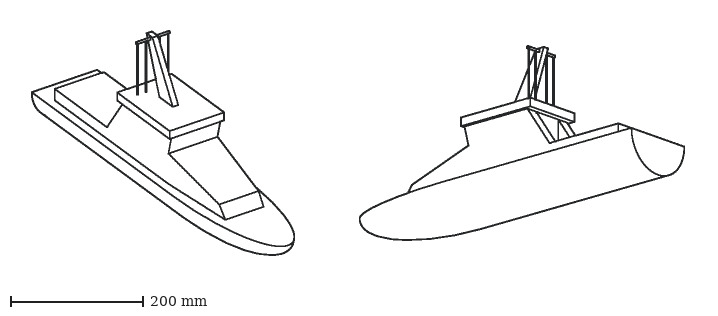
import cadquery as cq


hull_length = 600.0
hull_radius = 60.0
bow_length = 220.0
bow_start = hull_length - bow_length

cabin_width = 90.0
trunk_aft = 40.0
trunk_height = 20.0
cabin_foot_aft = 180.0
cabin_top_aft = 225.0
cabin_front = 345.0
cabin_top_front = 353.0
cabin_height = 85.0
side_wall = 20.0

foredeck_height = 53.0
foredeck_nose_height = 20.0
foredeck_nose_top = 468.0
foredeck_nose_foot = 483.0
foredeck_nose_width = 70.0

roof_aft = 214.5
roof_length = 141.0
roof_width = 100.0
roof_thickness = 14.0
roof_top = cabin_height + roof_thickness

mast_width = 10.0
mast_top = 194.0
mast_foot_aft = 262.0
mast_foot_front = 298.0
mast_top_aft = 227.5
mast_top_front = 243.5

bar_diameter = 4.0
bar_length = 60.0
bar_x = 237.5
bar_z = 189.5
rod_diameter = 2.0
outer_rod_offset = 28.0
inner_rod_offset = 12.5


def side_profile(points, width):
    """Extrude an X-Z outline to the given width, centred on Y = 0."""
    return cq.Workplane("XZ").polyline(points).close().extrude(width / 2, both=True)


def make_hull():
    stern = (
        cq.Workplane("YZ")
        .moveTo(-hull_radius, 0)
        .threePointArc((0, -hull_radius), (hull_radius, 0))
        .close()
        .extrude(bow_start)
    )
    bow = (
        cq.Workplane("XY", origin=(bow_start, 0, 0))
        .ellipseArc(bow_length, hull_radius, 0, 90, startAtCurrent=False)
        .lineTo(0, 0)
        .close()
        .revolve(180, (0, 0, 0), (-1, 0, 0))
    )
    return stern.union(bow)


def make_cabin():
    cabin = side_profile(
        [
            (trunk_aft, 0),
            (trunk_aft, trunk_height),
            (cabin_foot_aft, trunk_height),
            (cabin_top_aft, cabin_height),
            (cabin_top_front, cabin_height),
            (cabin_front, foredeck_height),
            (cabin_front, 0),
        ],
        cabin_width,
    )
    recess = cq.Workplane("XY").box(
        cabin_top_aft - cabin_foot_aft,
        cabin_width - 2 * side_wall,
        cabin_height - trunk_height,
        centered=(False, True, False),
    )
    return cabin.cut(recess.translate((cabin_foot_aft, 0, trunk_height)))


def make_foredeck():
    profile = side_profile(
        [
            (cabin_front, 0),
            (cabin_front, foredeck_height),
            (foredeck_nose_top, foredeck_nose_height),
            (foredeck_nose_foot, 0),
        ],
        cabin_width,
    )
    tapered_plan = (
        cq.Workplane("XY")
        .polyline(
            [
                (cabin_front, -cabin_width / 2),
                (foredeck_nose_foot, -foredeck_nose_width / 2),
                (foredeck_nose_foot, foredeck_nose_width / 2),
                (cabin_front, cabin_width / 2),
            ]
        )
        .close()
        .extrude(foredeck_height)
    )
    return profile.intersect(tapered_plan)


def make_roof():
    roof = cq.Workplane("XY").box(
        roof_length, roof_width, roof_thickness, centered=(False, True, False)
    )
    return roof.translate((roof_aft, 0, cabin_height))


def make_mast():
    return side_profile(
        [
            (mast_foot_aft, roof_top),
            (mast_foot_front, roof_top),
            (mast_top_front, mast_top),
            (mast_top_aft, mast_top),
        ],
        mast_width,
    )


def make_antennas():
    antennas = (
        cq.Workplane("XZ", origin=(bar_x, 0, bar_z))
        .circle(bar_diameter / 2)
        .extrude(bar_length / 2, both=True)
    )
    for offset in (outer_rod_offset, inner_rod_offset):
        for y in (-offset, offset):
            rod = (
                cq.Workplane("XY", origin=(bar_x, y, roof_top))
                .circle(rod_diameter / 2)
                .extrude(bar_z - roof_top)
            )
            antennas = antennas.union(rod)
    return antennas


result = (
    make_hull()
    .union(make_cabin())
    .union(make_foredeck())
    .union(make_roof())
    .union(make_mast())
    .union(make_antennas())
)